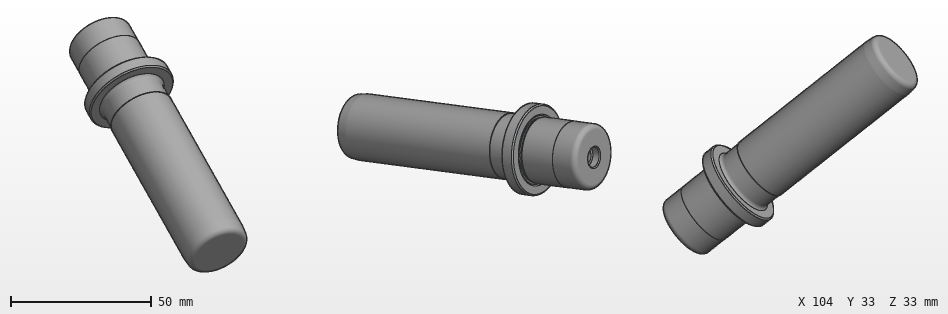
import cadquery as cq

length = 104.0
shank_radius = 24.0 / 2
flange_radius = 33.0 / 2

lead_end = 9.9
undercut_start = 23.0
flange_front = 24.0
flange_back = 29.0
neck_end = 37.1
taper_start = 99.1
tail_round_start = 101.9

lead_relief = 0.05
front_round = 2.0
flange_edge = 0.5
neck_radius = 11.8
neck_fillet_length = 1.6
neck_fillet_radius = 1.8
tail_radius = 23.4 / 2
tail_round = length - tail_round_start

undercut_depth = 0.3
undercut_ramp = 0.6
undercut_face_depth = 0.2
undercut_face_radius = 12.9
undercut_floor_radius = 12.4

bore_mouth_radius = 4.1
bore_radius = 3.6
bore_depth = 3.1
pilot_radius = 2.5
pilot_depth = 8.3
pilot_cone_depth = 1.5

DIAGONAL = 0.5 ** 0.5


def revolve_about_x(outline):
    return outline.close().revolve(360, (0, 0, 0), (1, 0, 0))


def arc_rise(distance, radius):
    return radius - (radius**2 - distance**2) ** 0.5


def make_body():
    lead_radius = shank_radius - lead_relief
    undercut_radius = shank_radius - undercut_depth
    flange_side_radius = flange_radius - flange_edge
    outline = (
        cq.Workplane("XY")
        .moveTo(0, 0)
        .lineTo(0, lead_radius - front_round)
        .threePointArc(
            (front_round * (1 - DIAGONAL), lead_radius - front_round * (1 - DIAGONAL)),
            (front_round, lead_radius),
        )
        .lineTo(lead_end, lead_radius)
        .lineTo(lead_end, shank_radius)
        .lineTo(undercut_start, shank_radius)
        .lineTo(undercut_start + undercut_ramp, undercut_radius)
        .lineTo(flange_front + undercut_face_depth, undercut_radius)
        .lineTo(flange_front + undercut_face_depth, undercut_floor_radius)
        .lineTo(flange_front, undercut_face_radius)
        .lineTo(flange_front, flange_side_radius)
        .lineTo(flange_front + flange_edge, flange_radius)
        .lineTo(flange_back - flange_edge, flange_radius)
        .lineTo(flange_back, flange_side_radius)
        .lineTo(flange_back, neck_radius + arc_rise(neck_fillet_length, neck_fillet_radius))
        .threePointArc(
            (
                flange_back + neck_fillet_length / 2,
                neck_radius + arc_rise(neck_fillet_length / 2, neck_fillet_radius),
            ),
            (flange_back + neck_fillet_length, neck_radius),
        )
        .lineTo(neck_end, neck_radius)
        .lineTo(neck_end, shank_radius)
        .lineTo(taper_start, shank_radius)
        .lineTo(tail_round_start, tail_radius)
        .threePointArc(
            (tail_round_start + tail_round * DIAGONAL, tail_radius - tail_round * (1 - DIAGONAL)),
            (length, tail_radius - tail_round),
        )
        .lineTo(length, 0)
    )
    return revolve_about_x(outline)


def make_bore():
    mouth_chamfer = bore_mouth_radius - bore_radius
    outline = (
        cq.Workplane("XY")
        .moveTo(0, 0)
        .lineTo(0, bore_mouth_radius)
        .lineTo(mouth_chamfer, bore_radius)
        .lineTo(bore_depth, bore_radius)
        .lineTo(bore_depth, pilot_radius)
        .lineTo(pilot_depth, pilot_radius)
        .lineTo(pilot_depth + pilot_cone_depth, 0)
    )
    return revolve_about_x(outline)


result = make_body().cut(make_bore()).translate((-length / 2, 0, 0))